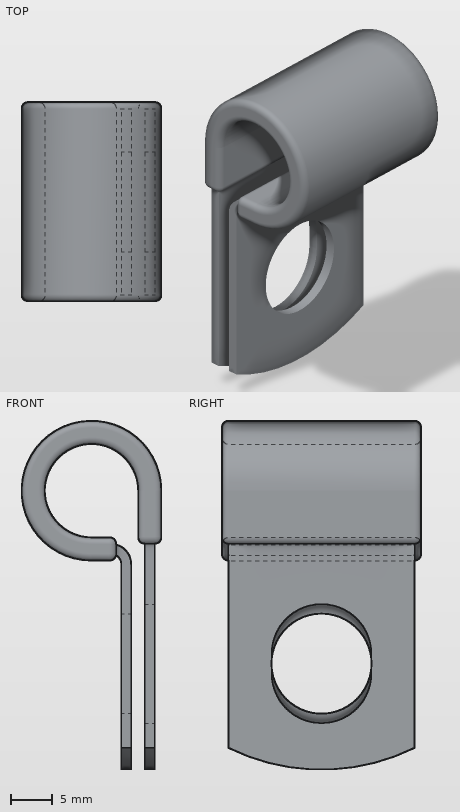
import cadquery as cq
import math

total_height = 41.7
loop_diameter = 16.7
strip_thickness = 1.2
cushion_cover = 0.8
strip_width = 22.2
arm_length = 2.95
drop_length = 6.35
bend_inner_radius = 1.2
left_leg_outer_x = 3.55
end_arc_radius = 25.0
hole_diameter = 11.9
slot_stretch = 2.3
hole_height = 12.65

loop_outer_radius = loop_diameter / 2
cushion_wall = strip_thickness + 2 * cushion_cover
cushion_width = strip_width + 2 * cushion_cover
loop_inner_radius = loop_outer_radius - cushion_wall
strip_outer_radius = loop_outer_radius - cushion_cover
strip_inner_radius = strip_outer_radius - strip_thickness
bend_outer_radius = bend_inner_radius + strip_thickness
bottom_z = loop_outer_radius - total_height
left_leg_inner_x = left_leg_outer_x + strip_thickness
bend_center_x = left_leg_outer_x - bend_inner_radius
bend_center_z = -strip_inner_radius - bend_outer_radius
DIAGONAL = math.sqrt(0.5)


def make_cushion():
    """Hook-shaped sleeve around the strip, rounded on every outside edge."""
    outer, inner = loop_outer_radius, loop_inner_radius
    mid_radius = (outer + inner) / 2
    profile = (
        cq.Workplane("XZ")
        .moveTo(arm_length, -outer)
        .lineTo(0, -outer)
        .threePointArc((-outer * DIAGONAL, outer * DIAGONAL), (outer, 0))
        .lineTo(outer, -drop_length)
        .lineTo(inner, -drop_length)
        .lineTo(inner, 0)
        .threePointArc((-inner * DIAGONAL, inner * DIAGONAL), (0, -inner))
        .lineTo(arm_length, -inner)
        .close()
    )
    sleeve = profile.extrude(cushion_width / 2, both=True)
    end_edges = sleeve.faces("|Y").edges()
    arm_tip = cq.selectors.NearestToPointSelector((arm_length, 0, -mid_radius))
    drop_tip = cq.selectors.NearestToPointSelector((mid_radius, 0, -drop_length))
    arm_tip_edges = sleeve.faces(arm_tip).edges("|Y")
    drop_tip_edges = sleeve.faces(drop_tip).edges("|Y")
    return end_edges.add(arm_tip_edges).add(drop_tip_edges).fillet(cushion_cover)


def make_strip():
    """Bent metal strip running through the cushion and down both legs."""
    outer, inner = strip_outer_radius, strip_inner_radius
    bend_reach = bend_outer_radius * DIAGONAL
    bend_inside = bend_inner_radius * DIAGONAL
    profile = (
        cq.Workplane("XZ")
        .moveTo(left_leg_outer_x, bottom_z)
        .lineTo(left_leg_outer_x, bend_center_z)
        .threePointArc((bend_center_x + bend_inside, bend_center_z + bend_inside), (bend_center_x, -outer))
        .lineTo(0, -outer)
        .threePointArc((-outer * DIAGONAL, outer * DIAGONAL), (outer, 0))
        .lineTo(outer, bottom_z)
        .lineTo(inner, bottom_z)
        .lineTo(inner, 0)
        .threePointArc((-inner * DIAGONAL, inner * DIAGONAL), (0, -inner))
        .lineTo(bend_center_x, -inner)
        .threePointArc(
            (bend_center_x + bend_reach, bend_center_z + bend_reach),
            (left_leg_inner_x, bend_center_z),
        )
        .lineTo(left_leg_inner_x, bottom_z)
        .close()
    )
    return profile.extrude(strip_width / 2, both=True)


def make_side_outline():
    """Slab across X, with the arc that rounds off the lower end of both legs."""
    half_width = strip_width / 2
    end_rise = end_arc_radius - math.sqrt(end_arc_radius**2 - half_width**2)
    corner_z = bottom_z + end_rise
    return (
        cq.Workplane("YZ")
        .moveTo(-half_width, loop_outer_radius)
        .lineTo(-half_width, corner_z)
        .threePointArc((0, bottom_z), (half_width, corner_z))
        .lineTo(half_width, loop_outer_radius)
        .close()
        .extrude(loop_outer_radius, both=True)
    )


def bolt_hole_plane(start_x):
    """Plane across X at start_x, centred on the bolt axis, with its local x along Z."""
    return cq.Workplane(cq.Plane((start_x, 0, bottom_z + hole_height), xDir=(0, 0, 1), normal=(1, 0, 0)))


def make_bolt_openings():
    """Round hole through the left leg and a vertical slot of equal width through the right leg."""
    mid_gap_x = (left_leg_inner_x + strip_inner_radius) / 2
    hole = bolt_hole_plane(0).circle(hole_diameter / 2).extrude(mid_gap_x)
    slot_length = hole_diameter + slot_stretch
    slot_depth = loop_outer_radius - mid_gap_x
    slot = bolt_hole_plane(mid_gap_x).slot2D(slot_length, hole_diameter).extrude(slot_depth)
    return hole.union(slot)


strip = make_strip().intersect(make_side_outline()).cut(make_bolt_openings())
result = make_cushion().union(strip)